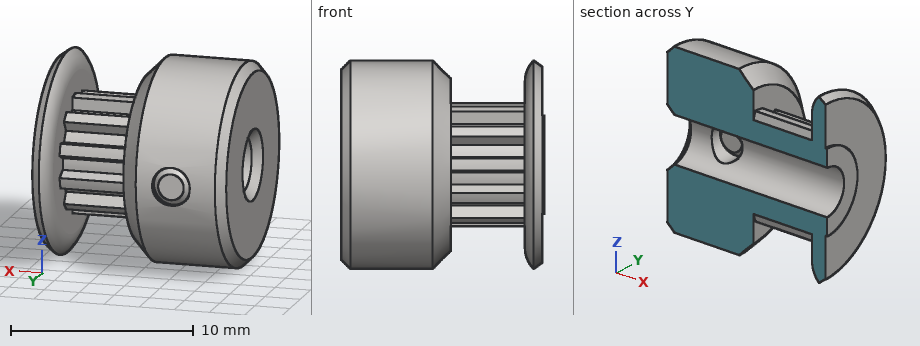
import cadquery as cq
import math

hub_radius = 5.7
hub_length = 6.0
hub_front_chamfer = 0.5
hub_back_chamfer = 0.99
bore_radius = 1.5
countersink = 0.5

tooth_count = 11
tip_radius = 3.37
root_radius = 2.69
tip_half_width = 0.33
root_half_width = 0.43
total_length = 11.1

flange_start = 10.03
flange_rim_x = 10.52
flange_end = 11.0
flange_face_radius = 4.54
flange_back_radius = 5.35

screw_x = 3.0
screw_radius = 1.07
screw_tip_y = 1.89
screw_chamfer = 0.34


def polar(radius, angle):
    """Point in the YZ section, with the angle measured from the -Y direction."""
    return (-radius * math.cos(angle), radius * math.sin(angle))


def make_hub():
    hub = cq.Workplane("YZ").circle(hub_radius).extrude(hub_length)
    hub = hub.faces("<X").chamfer(hub_front_chamfer)
    return hub.faces(">X").chamfer(hub_back_chamfer)


def make_barrel():
    barrel = cq.Workplane("YZ", origin=(hub_length, 0, 0))
    return barrel.circle(root_radius).extrude(total_length - hub_length)


def make_tooth(middle):
    """Tooth with tapered flanks and a round tip, centred on the given angle."""
    tip_half_angle = math.asin(tip_half_width / tip_radius)
    root_half_angle = math.asin(root_half_width / root_radius)
    return (
        cq.Workplane("YZ", origin=(hub_length, 0, 0))
        .moveTo(*polar(bore_radius, middle))
        .lineTo(*polar(root_radius, middle - root_half_angle))
        .lineTo(*polar(tip_radius, middle - tip_half_angle))
        .threePointArc(polar(tip_radius, middle), polar(tip_radius, middle + tip_half_angle))
        .lineTo(*polar(root_radius, middle + root_half_angle))
        .close()
        .extrude(flange_start - hub_length)
    )


def make_bore():
    bore = cq.Workplane("YZ").circle(bore_radius).extrude(total_length)
    cone = cq.Solid.makeCone(
        bore_radius + countersink, bore_radius, countersink,
        cq.Vector(0, 0, 0), cq.Vector(1, 0, 0),
    )
    return bore.union(cq.Workplane(cone))


def make_screw_hole():
    hole = cq.Workplane("XZ", origin=(screw_x, 0, 0)).circle(screw_radius)
    return hole.extrude(-hub_radius)


def make_pulley():
    pulley = make_hub().union(make_barrel()).union(make_flange())
    for tooth in range(tooth_count):
        pulley = pulley.union(make_tooth(tooth * 2 * math.pi / tooth_count))
    return pulley.cut(make_bore()).cut(make_screw_hole())


def make_flange():
    """Ring with a rounded front edge, tangent to its flat face, and a bevelled back edge."""
    return (
        cq.Workplane("XY")
        .moveTo(flange_start, bore_radius)
        .lineTo(flange_start, flange_face_radius)
        .tangentArcPoint((flange_rim_x, hub_radius), relative=False)
        .lineTo(flange_end, flange_back_radius)
        .lineTo(flange_end, bore_radius)
        .close()
        .revolve(360, (0, 0, 0), (1, 0, 0))
    )


def make_screw():
    """Set screw flush with the hub, chamfered at both ends."""
    screw = cq.Workplane("XZ", origin=(screw_x, screw_tip_y, 0)).circle(screw_radius)
    return screw.extrude(screw_tip_y - hub_radius).faces(">Y or <Y").chamfer(screw_chamfer)


pulley = make_pulley()
screw = make_screw()
result = cq.Compound.makeCompound([pulley.val(), screw.val()])